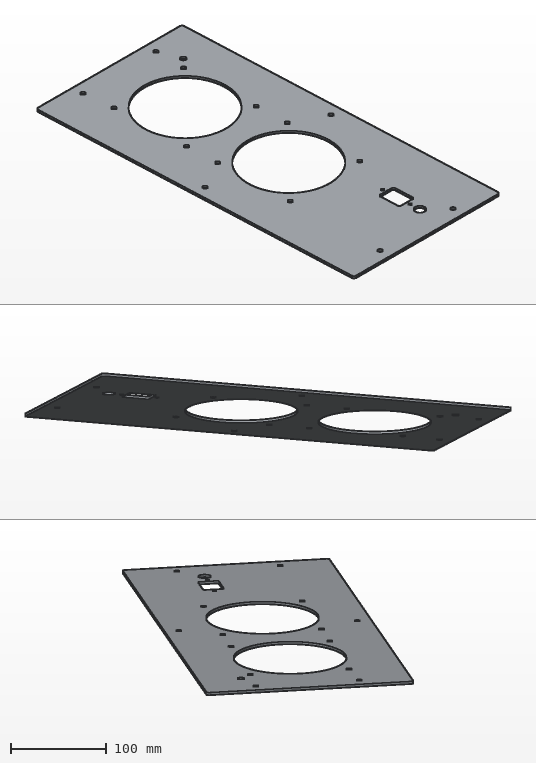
import cadquery as cq

PLATE_LENGTH = 460.0
PLATE_WIDTH = 220.0
PLATE_THICKNESS = 3.0
CORNER_RADIUS = 3.0

MOUNT_HOLE_DIAMETER = 5.5
MOUNT_EDGE_INSET = 15.0
SIDE_MOUNT_PITCH = PLATE_WIDTH / 2

FAN_CENTERS_X = (-120.0, 30.0)
FAN_OPENING_DIAMETER = 118.0
FAN_HOLE_DIAMETER = 5.5
FAN_HOLE_PITCH = 105.0

SOCKET_CENTER = (157.0, 30.0)
SOCKET_LENGTH = 30.0
SOCKET_WIDTH = 22.0
SOCKET_CORNER_RADIUS = 2.0
SOCKET_HOLE_DIAMETER = 3.6
SOCKET_HOLE_PITCH = 40.0

SWITCH_HOLE_DIAMETER = 13.0
SWITCH_HOLE_CENTER = (191.0, SOCKET_CENTER[1])
CABLE_HOLE_DIAMETER = 7.0
CABLE_HOLE_CENTER = (-185.0, 65.0)


def make_plate():
    """Flat plate with rounded corners, centered in X and Y, resting on Z = 0."""
    plate = cq.Workplane("XY").box(
        PLATE_LENGTH, PLATE_WIDTH, PLATE_THICKNESS, centered=(True, True, False)
    )
    return plate.edges("|Z").fillet(CORNER_RADIUS)


def drill(plate, centers, diameter):
    """Drill round through holes at the given X, Y centers."""
    return plate.faces(">Z").workplane(origin=(0, 0, 0)).pushPoints(centers).hole(diameter)


def cut_mount_holes(plate):
    """Two screw holes along each short side and one at the middle of each long side."""
    side_x = PLATE_LENGTH / 2 - MOUNT_EDGE_INSET
    middle_y = PLATE_WIDTH / 2 - MOUNT_EDGE_INSET
    centers = [(0, -middle_y), (0, middle_y)]
    for x in (-side_x, side_x):
        for y in (-SIDE_MOUNT_PITCH / 2, SIDE_MOUNT_PITCH / 2):
            centers.append((x, y))
    return drill(plate, centers, MOUNT_HOLE_DIAMETER)


def cut_fan(plate, center_x):
    """Large round opening and its four screw holes."""
    half_pitch = FAN_HOLE_PITCH / 2
    screw_centers = [
        (center_x + dx, dy)
        for dx in (-half_pitch, half_pitch)
        for dy in (-half_pitch, half_pitch)
    ]
    plate = drill(plate, [(center_x, 0)], FAN_OPENING_DIAMETER)
    return drill(plate, screw_centers, FAN_HOLE_DIAMETER)


def cut_socket(plate):
    """Rectangular cutout with rounded corners and its two screw holes."""
    center_x, center_y = SOCKET_CENTER
    cutout = (
        cq.Workplane("XY")
        .center(center_x, center_y)
        .rect(SOCKET_LENGTH, SOCKET_WIDTH)
        .extrude(PLATE_THICKNESS)
        .edges("|Z")
        .fillet(SOCKET_CORNER_RADIUS)
    )
    half_pitch = SOCKET_HOLE_PITCH / 2
    screw_centers = [(center_x - half_pitch, center_y), (center_x + half_pitch, center_y)]
    return drill(plate.cut(cutout), screw_centers, SOCKET_HOLE_DIAMETER)


result = make_plate()
result = cut_mount_holes(result)
for fan_x in FAN_CENTERS_X:
    result = cut_fan(result, fan_x)
result = cut_socket(result)
result = drill(result, [SWITCH_HOLE_CENTER], SWITCH_HOLE_DIAMETER)
result = drill(result, [CABLE_HOLE_CENTER], CABLE_HOLE_DIAMETER)